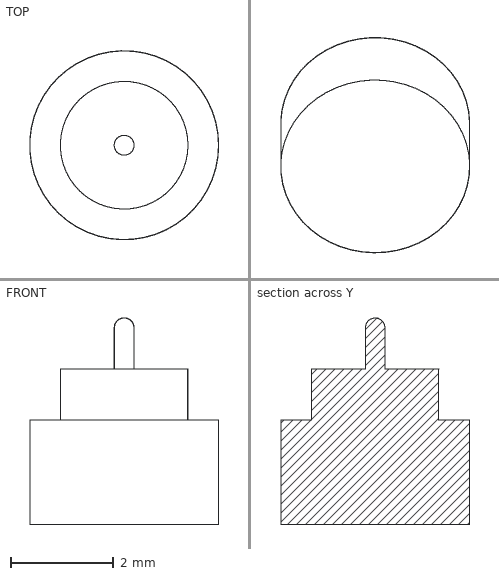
import cadquery as cq

total_height = 4.05
body_diameter = 3.7
body_height = 2.05
collar_diameter = 2.5
collar_height = 1.0
pin_diameter = 0.39

collar_top = body_height + collar_height
tip_radius = pin_diameter / 2
shank_height = total_height - collar_top - tip_radius


def cylinder(diameter, height, base_z):
    """Upright cylinder on the Z axis, starting at base_z."""
    return cq.Workplane("XY").workplane(offset=base_z).circle(diameter / 2).extrude(height)


body = cylinder(body_diameter, body_height, 0)
collar = cylinder(collar_diameter, collar_height, body_height)

shank = cylinder(pin_diameter, shank_height, collar_top)
tip = cq.Workplane("XY").sphere(tip_radius).translate((0, 0, collar_top + shank_height))
pin = shank.union(tip)

result = body.union(collar).union(pin)